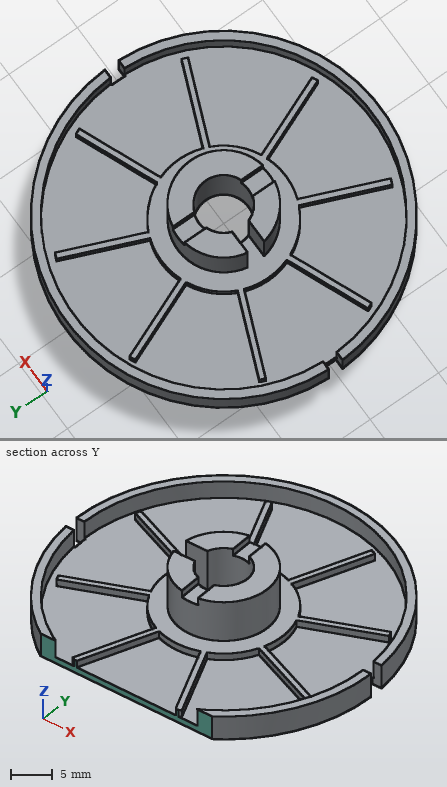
import cadquery as cq

DISC_DIAMETER = 45.9
RIM_WALL = 1.2
RIM_INNER_DIAMETER = DISC_DIAMETER - 2 * RIM_WALL
FLOOR_THICKNESS = 1.0
RIM_HEIGHT = 3.5

PLATFORM_DIAMETER = 18.2
PLATFORM_TOP = 2.0
RIB_COUNT = 8
RIB_WIDTH = 0.8
RIB_END_RADIUS = 20.5
RIB_PITCH = 360 / RIB_COUNT

HUB_DIAMETER = 13.4
TOTAL_HEIGHT = 7.9
BORE_DIAMETER = 7.2
HUB_SLOT_WIDTH = 2.4
CROSS_SLOT_DEPTH = 1.0

RIM_NOTCH_WIDTH = 2.0
RIM_NOTCH_SPAN = 43.1


def cylinder(diameter, bottom, top):
    """Cylinder on the Z axis between two heights."""
    return cq.Workplane("XY").workplane(offset=bottom).circle(diameter / 2).extrude(top - bottom)


def block(x_start, x_end, width, bottom, top):
    """Box between two X positions, centred on the X axis."""
    return (
        cq.Workplane("XY")
        .box(x_end - x_start, width, top - bottom, centered=(False, True, False))
        .translate((x_start, 0, bottom))
    )


def make_dish():
    """Flat disc with an upstanding rim."""
    recess = cylinder(RIM_INNER_DIAMETER, FLOOR_THICKNESS, RIM_HEIGHT)
    return cylinder(DISC_DIAMETER, 0, RIM_HEIGHT).cut(recess)


def add_ribs(body):
    """Radial ribs from the platform, set half a pitch off the X axis."""
    rib = block(BORE_DIAMETER / 2, RIB_END_RADIUS, RIB_WIDTH, 0, PLATFORM_TOP)
    for index in range(RIB_COUNT):
        angle = (index + 0.5) * RIB_PITCH
        body = body.union(rib.rotate((0, 0, 0), (0, 0, 1), angle))
    return body


def cut_rim_notches(body):
    """Full-height notches through the rim at both ends of the X axis."""
    notch = block(RIM_NOTCH_SPAN / 2, DISC_DIAMETER, RIM_NOTCH_WIDTH, 0, RIM_HEIGHT)
    return body.cut(notch).cut(notch.mirror("YZ"))


def cut_hub_slots(body):
    """Deep slot on the -X side and a shallow slot across the hub along Y."""
    deep_slot = block(-HUB_DIAMETER, 0, HUB_SLOT_WIDTH, PLATFORM_TOP, TOTAL_HEIGHT)
    cross_slot = block(
        -HUB_DIAMETER, HUB_DIAMETER, HUB_SLOT_WIDTH, TOTAL_HEIGHT - CROSS_SLOT_DEPTH, TOTAL_HEIGHT
    ).rotate((0, 0, 0), (0, 0, 1), 90)
    return body.cut(deep_slot).cut(cross_slot)


part = make_dish()
part = part.union(cylinder(PLATFORM_DIAMETER, 0, PLATFORM_TOP))
part = add_ribs(part)
part = part.union(cylinder(HUB_DIAMETER, 0, TOTAL_HEIGHT))
part = cut_rim_notches(part)
part = cut_hub_slots(part)
result = part.cut(cylinder(BORE_DIAMETER, 0, TOTAL_HEIGHT))